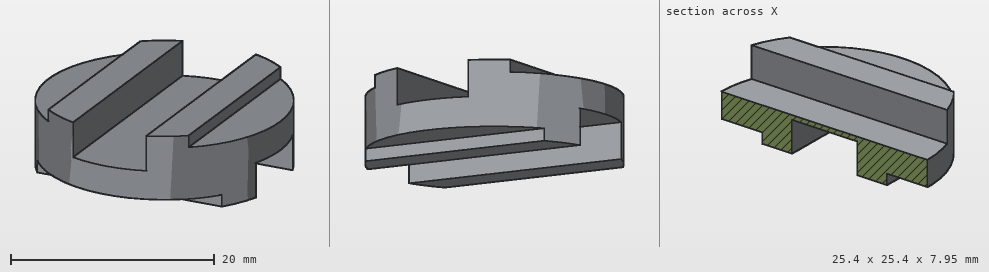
import cadquery as cq

diameter = 25.4
height = 7.95
groove_width = 8.03
groove_depth = 3.68
rails_width = 15.37
shoulder_depth = 1.25

shoulder_width = (diameter - rails_width) / 2
shoulder_offset = (rails_width + shoulder_width) / 2


def top_cutters():
    """Groove and both shoulders of the top face, running along Y."""
    groove = (
        cq.Workplane("XY")
        .box(groove_width, diameter, groove_depth, centered=(True, True, False))
        .translate((0, 0, height - groove_depth))
    )
    shoulders = (
        cq.Workplane("XY")
        .workplane(offset=height - shoulder_depth)
        .pushPoints([(-shoulder_offset, 0), (shoulder_offset, 0)])
        .rect(shoulder_width, diameter)
        .extrude(shoulder_depth)
    )
    return groove.union(shoulders)


def bottom_cutters():
    """Top cutters mirrored to the bottom face and turned to run along X."""
    return (
        top_cutters()
        .mirror("XY")
        .translate((0, 0, height))
        .rotate((0, 0, 0), (0, 0, 1), 90)
    )


disc = cq.Workplane("XY").circle(diameter / 2).extrude(height)
result = disc.cut(top_cutters()).cut(bottom_cutters())